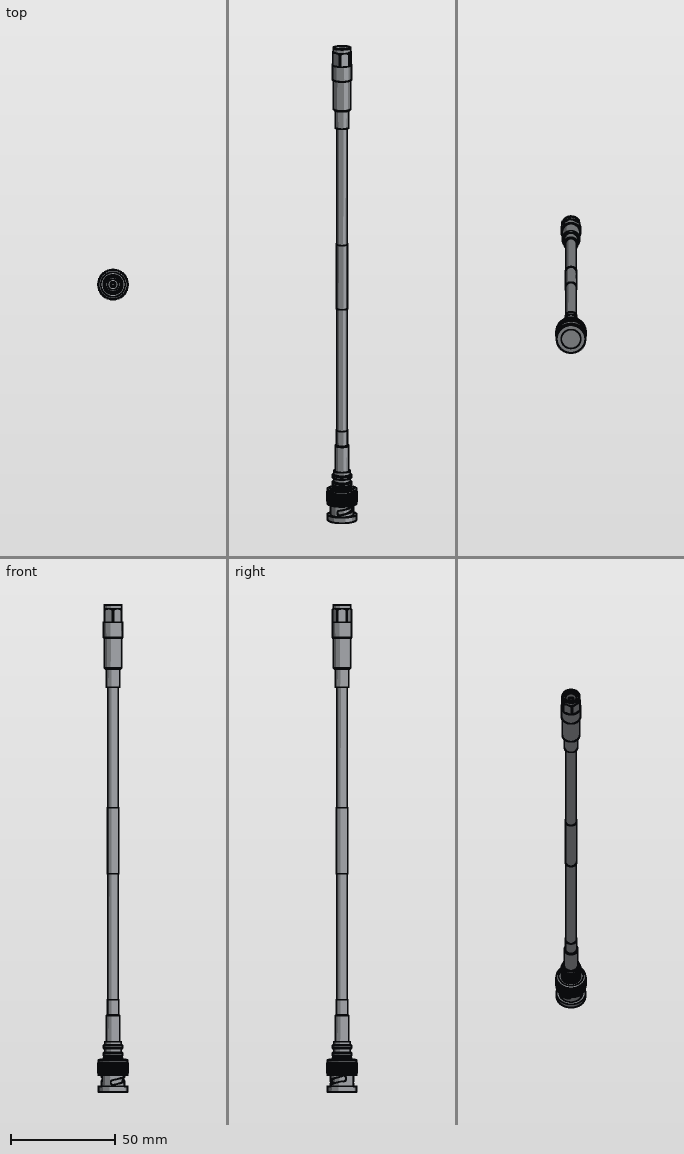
import cadquery as cq

TOTAL_LENGTH = 233.5

CABLE_RADIUS = 2.5
LABEL_RADIUS = 2.8
LABEL_BOTTOM = 104.5
LABEL_TOP = 136.3

SMA_BOTTOM = 217.5
SMA_CORNER_RADIUS = 4.7
SMA_FLAT_RADIUS = 4.2
SMA_HEX_SIDES = 6
SMA_HEX_BOTTOM = 225.0
SMA_HEX_TOP = 231.5
SMA_COLLAR_CHAMFER = 0.35
SMA_MOUTH_RADIUS = 3.5
SMA_MOUTH_DEPTH = 1.2
SMA_BORE_RADIUS = 2.5
SMA_BORE_DEPTH = 7.0
SMA_POST_RADIUS = 1.5
SMA_POST_HEIGHT = 4.7
SMA_SOCKET_RADIUS = 0.7

SMA_SLEEVE_BOTTOM = 194.0
SMA_SLEEVE_STEP = 202.6
SMA_SLEEVE_RADIUS = 4.2
SMA_SLEEVE_TAIL_RADIUS = 3.3
SMA_SLEEVE_CHAMFER = 0.7

BNC_SLEEVE_BOTTOM = 24.3
BNC_SLEEVE_STEP = 37.1
BNC_SLEEVE_TOP = 44.4
BNC_SLEEVE_RADIUS = 3.3
BNC_SLEEVE_NECK_RADIUS = LABEL_RADIUS
BNC_SLEEVE_CHAMFER = 0.5

RIB_RADIUS = 4.7
RIB_ROOT_RADIUS = 4.0
RIB_PITCH = 3.5
RIB_WIDTH = 1.9
RIB_CHAMFER = 0.5
RIB_COUNT = 2
TOP_RIB_CENTRE = 21.7
BARREL_RADIUS = 4.7

RIM_RADIUS = 7.0
SHELL_RADIUS = 5.5
SHELL_TOP = 15.9
TOP_BEVEL_HEIGHT = 0.5
TOP_BEVEL_WIDTH = 1.2
FLANGE_TOP = 2.8
FLANGE_CHAMFER = 0.2

GRIP_RADIUS = 7.2
GRIP_TOP = 14.5
GRIP_BOTTOM = 8.2
UPPER_BEVEL_HEIGHT = 0.7
LOWER_BEVEL_HEIGHT = 1.5
KNURL_COUNT = 36
KNURL_WIDTH = 0.58
KNURL_DEPTH = 0.35
KNURL_FIRST_ANGLE = 180 / KNURL_COUNT

SLOT_COUNT = 2
SLOT_WIDTH = 2.3
SLOT_START_Z = 4.7
SLOT_RISE = 1.9
SLOT_END_RADIUS = 1.5
SLOT_START_ANGLE = -90.0
SLOT_SWEEP = 97.0


def cylinder(radius, bottom, top):
    return cq.Workplane("XY").workplane(offset=bottom).circle(radius).extrude(top - bottom)


def make_cable():
    return cylinder(CABLE_RADIUS, BNC_SLEEVE_BOTTOM, SMA_BOTTOM)


def make_label():
    band = cylinder(LABEL_RADIUS, LABEL_BOTTOM, LABEL_TOP)
    return band.cut(cylinder(CABLE_RADIUS, LABEL_BOTTOM, LABEL_TOP))


def make_sma_plug():
    collar = cylinder(SMA_CORNER_RADIUS, SMA_BOTTOM, SMA_HEX_BOTTOM).faces("<Z").chamfer(SMA_COLLAR_CHAMFER)
    hexagon = (
        cq.Workplane("XY")
        .workplane(offset=SMA_HEX_BOTTOM)
        .polygon(SMA_HEX_SIDES, 2 * SMA_FLAT_RADIUS, circumscribed=True)
        .extrude(SMA_HEX_TOP - SMA_HEX_BOTTOM)
    )
    corner_trim = cylinder(SMA_CORNER_RADIUS, SMA_HEX_BOTTOM, SMA_HEX_TOP)
    corner_trim = corner_trim.faces(">Z").chamfer(SMA_CORNER_RADIUS - SMA_FLAT_RADIUS)
    nose = cylinder(SMA_FLAT_RADIUS, SMA_HEX_TOP, TOTAL_LENGTH)
    bore_floor = TOTAL_LENGTH - SMA_BORE_DEPTH
    post_top = bore_floor + SMA_POST_HEIGHT
    plug = collar.union(hexagon.intersect(corner_trim)).union(nose)
    plug = plug.cut(cylinder(SMA_BORE_RADIUS, bore_floor, TOTAL_LENGTH))
    plug = plug.cut(cylinder(SMA_MOUTH_RADIUS, TOTAL_LENGTH - SMA_MOUTH_DEPTH, TOTAL_LENGTH))
    post = cylinder(SMA_POST_RADIUS, bore_floor, post_top)
    socket = cylinder(SMA_SOCKET_RADIUS, bore_floor, post_top)
    return plug.union(post.cut(socket))


def make_sma_sleeve():
    main = cylinder(SMA_SLEEVE_RADIUS, SMA_SLEEVE_STEP, SMA_BOTTOM)
    main = main.faces("<Z").chamfer(SMA_SLEEVE_CHAMFER)
    tail = cylinder(SMA_SLEEVE_TAIL_RADIUS, SMA_SLEEVE_BOTTOM, SMA_SLEEVE_STEP)
    return main.union(tail).cut(cylinder(CABLE_RADIUS, SMA_SLEEVE_BOTTOM, SMA_BOTTOM))


def make_bnc_sleeve():
    main = cylinder(BNC_SLEEVE_RADIUS, BNC_SLEEVE_BOTTOM, BNC_SLEEVE_STEP)
    main = main.faces(">Z").chamfer(BNC_SLEEVE_CHAMFER)
    neck = cylinder(BNC_SLEEVE_NECK_RADIUS, BNC_SLEEVE_STEP, BNC_SLEEVE_TOP)
    return main.union(neck).cut(cylinder(CABLE_RADIUS, BNC_SLEEVE_BOTTOM, BNC_SLEEVE_TOP))


def make_bnc_body():
    body = cylinder(BARREL_RADIUS, 0, SHELL_TOP)
    body = body.union(cylinder(RIB_ROOT_RADIUS, SHELL_TOP, BNC_SLEEVE_BOTTOM))
    for index in range(RIB_COUNT):
        centre = TOP_RIB_CENTRE - index * RIB_PITCH
        rib = cylinder(RIB_RADIUS, centre - RIB_WIDTH / 2, centre + RIB_WIDTH / 2)
        body = body.union(rib.faces("<Z or >Z").chamfer(RIB_CHAMFER))
    foot = cylinder(RIB_RADIUS, SHELL_TOP, SHELL_TOP + RIB_WIDTH / 2).faces(">Z").chamfer(RIB_CHAMFER)
    return body.union(foot)


def make_bayonet_slot():
    """One helical slot with round ends, cutting through the wall of the shell."""
    wall_middle = (BARREL_RADIUS + SHELL_RADIUS) / 2
    cut_depth = 2 * (SHELL_RADIUS - BARREL_RADIUS)
    pitch = SLOT_RISE * 360 / SLOT_SWEEP
    helix = cq.Wire.makeHelix(pitch, SLOT_RISE, wall_middle)
    slot = (
        cq.Workplane("XZ", origin=(wall_middle, 0, 0))
        .rect(cut_depth, SLOT_WIDTH)
        .sweep(cq.Workplane(helix), isFrenet=True)
    )
    slot_ends = (
        (0, 0, SLOT_WIDTH / 2),
        (SLOT_SWEEP, SLOT_RISE, SLOT_END_RADIUS),
    )
    for angle, height, radius in slot_ends:
        end = (
            cq.Workplane("YZ", origin=(wall_middle - cut_depth / 2, 0, height))
            .circle(radius)
            .extrude(cut_depth)
            .rotate((0, 0, 0), (0, 0, 1), angle)
        )
        slot = slot.union(end)
    return slot.translate((0, 0, SLOT_START_Z))


def make_bnc_shell():
    outline = [
        (BARREL_RADIUS, 0),
        (RIM_RADIUS - FLANGE_CHAMFER, 0),
        (RIM_RADIUS, FLANGE_CHAMFER),
        (RIM_RADIUS, FLANGE_TOP),
        (SHELL_RADIUS, FLANGE_TOP),
        (SHELL_RADIUS, GRIP_BOTTOM),
        (RIM_RADIUS, GRIP_BOTTOM),
        (GRIP_RADIUS, GRIP_BOTTOM + LOWER_BEVEL_HEIGHT),
        (GRIP_RADIUS, GRIP_TOP - UPPER_BEVEL_HEIGHT),
        (RIM_RADIUS, GRIP_TOP),
        (RIM_RADIUS, SHELL_TOP - TOP_BEVEL_HEIGHT),
        (RIM_RADIUS - TOP_BEVEL_WIDTH, SHELL_TOP),
        (BARREL_RADIUS, SHELL_TOP),
    ]
    shell = cq.Workplane("XZ").polyline(outline).close().revolve(360, (0, 0), (0, 1))
    knurls = (
        cq.Workplane("XY")
        .workplane(offset=GRIP_BOTTOM)
        .polarArray(GRIP_RADIUS, KNURL_FIRST_ANGLE, 360, KNURL_COUNT)
        .rect(2 * KNURL_DEPTH, KNURL_WIDTH)
        .extrude(GRIP_TOP - GRIP_BOTTOM)
    )
    shell = shell.cut(knurls)
    slot = make_bayonet_slot()
    for index in range(SLOT_COUNT):
        angle = SLOT_START_ANGLE + index * 360 / SLOT_COUNT
        shell = shell.cut(slot.rotate((0, 0, 0), (0, 0, 1), angle))
    return shell


cable = make_cable()
label = make_label()
sma_plug = make_sma_plug()
sma_sleeve = make_sma_sleeve()
bnc_sleeve = make_bnc_sleeve()
bnc_body = make_bnc_body()
bnc_shell = make_bnc_shell()

result = cq.Compound.makeCompound([
    cable.val(),
    label.val(),
    sma_plug.val(),
    sma_sleeve.val(),
    bnc_sleeve.val(),
    bnc_body.val(),
    bnc_shell.val(),
])